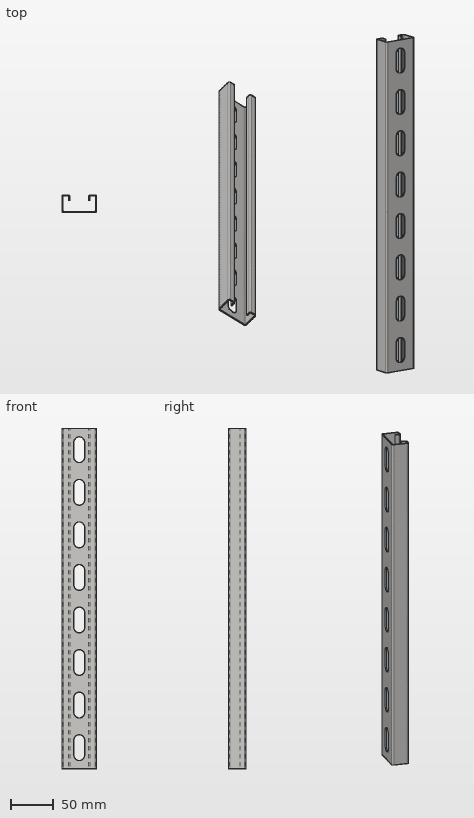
import cadquery as cq

WIDTH = 41.0
DEPTH = 21.0
LENGTH = 400.0

THICKNESS = 1.5
INNER_BEND_RADIUS = THICKNESS / 2
OUTER_BEND_RADIUS = INNER_BEND_RADIUS + THICKNESS
MOUTH_WIDTH = 22.0
LIP_DEPTH = 7.0

SLOT_LENGTH = 30.0
SLOT_WIDTH = 12.5
SLOT_PITCH = 50.0
SLOT_COUNT = round(LENGTH / SLOT_PITCH)

WEB_Y = -DEPTH / 2
MOUTH_Y = DEPTH / 2


def sheet_face(inset):
    """Sharp-cornered (x, y) path along the section, from lip to lip, set in from the outer face by inset."""
    lip_x = MOUTH_WIDTH / 2 + inset
    wall_x = WIDTH / 2 - inset
    left_half = [
        (-lip_x, MOUTH_Y - LIP_DEPTH),
        (-lip_x, MOUTH_Y - inset),
        (-wall_x, MOUTH_Y - inset),
        (-wall_x, WEB_Y + inset),
    ]
    right_half = [(-x, y) for x, y in reversed(left_half)]
    return left_half + right_half


def round_bends(body, face_path, radius):
    """Fillet the lengthwise edges at every corner of the path except its two free ends."""
    for x, y in face_path[1:-1]:
        bend_edge = cq.selectors.NearestToPointSelector((x, y, LENGTH / 2))
        body = body.edges(bend_edge).fillet(radius)
    return body


def make_channel():
    """Lipped C-shaped channel with concentric inner and outer bends."""
    outer_face = sheet_face(0)
    inner_face = sheet_face(THICKNESS)
    section = outer_face + inner_face[::-1]
    channel = cq.Workplane("XY").polyline(section).close().extrude(LENGTH)
    channel = round_bends(channel, outer_face, OUTER_BEND_RADIUS)
    return round_bends(channel, inner_face, INNER_BEND_RADIUS)


def make_slots():
    """Cutters for the lengthwise obround slots, evenly spaced along the web."""
    return (
        cq.Workplane("XZ", origin=(0, WEB_Y + THICKNESS, LENGTH / 2))
        .rarray(1, SLOT_PITCH, 1, SLOT_COUNT)
        .slot2D(SLOT_LENGTH, SLOT_WIDTH, 90)
        .extrude(THICKNESS)
    )


result = make_channel().cut(make_slots())